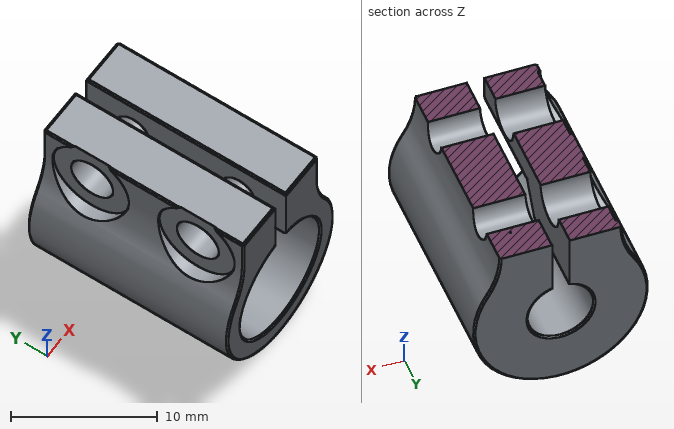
import cadquery as cq
import math

LENGTH = 16.57
BARREL_RADIUS = 6.35
TOP_Z = 9.475
NECK_HALF_WIDTH = 4.445
NECK_FILLET_RADIUS = BARREL_RADIUS
EDGE_CHAMFER = 0.127

LARGE_BORE_RADIUS = 4.7625
SMALL_BORE_RADIUS = LARGE_BORE_RADIUS / 2
LARGE_BORE_DEPTH = LENGTH / 2
DRILL_POINT_ANGLE = 118.0

SLOT_WIDTH = 1.27

SCREW_SPACING = 8.77
SCREW_Z = 6.63
CLEARANCE_DIAMETER = 3.48
TAP_DIAMETER = 2.58
COUNTERBORE_DIAMETER = 6.35
COUNTERBORE_FLOOR_X = -4.27

FRONT_Y = -LENGTH / 2
BACK_Y = LENGTH / 2


def make_body():
    """Barrel blended into a straight-sided neck, with its end and top edges chamfered."""
    center_distance = BARREL_RADIUS + NECK_FILLET_RADIUS
    fillet_x = NECK_HALF_WIDTH + NECK_FILLET_RADIUS
    fillet_z = math.sqrt(center_distance**2 - fillet_x**2)
    barrel_share = BARREL_RADIUS / center_distance
    tangent_x = fillet_x * barrel_share
    tangent_z = fillet_z * barrel_share
    middle_angle = math.atan2(fillet_z, fillet_x) / 2
    middle_x = fillet_x - NECK_FILLET_RADIUS * math.cos(middle_angle)
    middle_z = fillet_z - NECK_FILLET_RADIUS * math.sin(middle_angle)

    return (
        cq.Workplane("XZ", origin=(0, BACK_Y, 0))
        .moveTo(-NECK_HALF_WIDTH, TOP_Z)
        .lineTo(NECK_HALF_WIDTH, TOP_Z)
        .lineTo(NECK_HALF_WIDTH, fillet_z)
        .threePointArc((middle_x, middle_z), (tangent_x, tangent_z))
        .threePointArc((0, -BARREL_RADIUS), (-tangent_x, tangent_z))
        .threePointArc((-middle_x, middle_z), (-NECK_HALF_WIDTH, fillet_z))
        .close()
        .extrude(LENGTH)
        .faces("<Y or >Y or >Z")
        .edges()
        .chamfer(EDGE_CHAMFER)
    )


def make_bore():
    """Large bore from the -Y end, a conical drill point, then the small bore to the +Y end.

    Both bore mouths are chamfered.
    """
    cone_start_y = FRONT_Y + LARGE_BORE_DEPTH
    half_point_angle = math.radians(DRILL_POINT_ANGLE / 2)
    cone_length = (LARGE_BORE_RADIUS - SMALL_BORE_RADIUS) / math.tan(half_point_angle)
    return (
        cq.Workplane("XY")
        .moveTo(0, FRONT_Y)
        .lineTo(LARGE_BORE_RADIUS + EDGE_CHAMFER, FRONT_Y)
        .lineTo(LARGE_BORE_RADIUS, FRONT_Y + EDGE_CHAMFER)
        .lineTo(LARGE_BORE_RADIUS, cone_start_y)
        .lineTo(SMALL_BORE_RADIUS, cone_start_y + cone_length)
        .lineTo(SMALL_BORE_RADIUS, BACK_Y - EDGE_CHAMFER)
        .lineTo(SMALL_BORE_RADIUS + EDGE_CHAMFER, BACK_Y)
        .lineTo(0, BACK_Y)
        .close()
        .revolve(360, (0, 0), (0, 1))
    )


def make_slot():
    """Full-length clamping slot from the bore to the top, with a chamfered mouth."""
    half_width = SLOT_WIDTH / 2
    mouth_half_width = half_width + EDGE_CHAMFER
    return (
        cq.Workplane("XZ", origin=(0, BACK_Y, 0))
        .moveTo(-half_width, 0)
        .lineTo(half_width, 0)
        .lineTo(half_width, TOP_Z - EDGE_CHAMFER)
        .lineTo(mouth_half_width, TOP_Z)
        .lineTo(-mouth_half_width, TOP_Z)
        .lineTo(-half_width, TOP_Z - EDGE_CHAMFER)
        .close()
        .extrude(LENGTH)
    )


def cylinder_along_x(diameter, start_x, end_x, y):
    """Cylinder at screw height, running along X between the two given positions."""
    return (
        cq.Workplane("YZ", origin=(start_x, y, SCREW_Z))
        .circle(diameter / 2)
        .extrude(end_x - start_x)
    )


def make_screw_hole(y):
    """Counterbore and clearance hole in the -X ear, tap hole in the +X ear."""
    counterbore = cylinder_along_x(COUNTERBORE_DIAMETER, -BARREL_RADIUS, COUNTERBORE_FLOOR_X, y)
    clearance = cylinder_along_x(CLEARANCE_DIAMETER, COUNTERBORE_FLOOR_X, 0, y)
    tap = cylinder_along_x(TAP_DIAMETER, 0, BARREL_RADIUS, y)
    return counterbore.union(clearance).union(tap)


result = make_body().cut(make_bore()).cut(make_slot())
for screw_y in (-SCREW_SPACING / 2, SCREW_SPACING / 2):
    result = result.cut(make_screw_hole(screw_y))